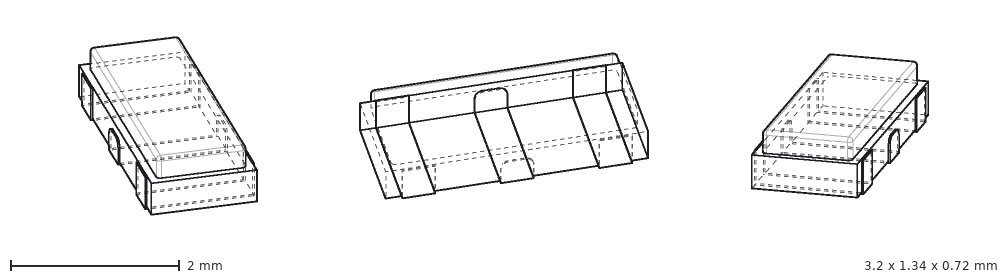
import cadquery as cq

base_length = 3.2
base_width = 1.3
base_height = 0.42

lid_inset = 0.1
lid_height = 0.28
lid_radius = 0.05

terminal_width = 0.4
terminal_pitch = 1.2
side_plating = 0.0208
bottom_plating = 0.02
corner_terminal_top = 0.405
middle_terminal_top = 0.3
middle_terminal_radius = 0.1

terminal_span = base_width + 2 * side_plating


def make_base():
    return cq.Workplane("XY").box(base_length, base_width, base_height, centered=(True, True, False))


def make_lid():
    lid_length = base_length - 2 * lid_inset
    lid_width = base_width - 2 * lid_inset
    lid = cq.Workplane("XY").workplane(offset=base_height)
    lid = lid.box(lid_length, lid_width, lid_height, centered=(True, True, False))
    return lid.edges("|Z or >Z").fillet(lid_radius)


def make_terminal(x, top):
    """Band that runs under the base and up both long sides to the given height."""
    band = cq.Workplane("XY").box(
        terminal_width, terminal_span, top + bottom_plating, centered=(True, True, False)
    )
    return band.translate((x, 0, -bottom_plating))


middle_terminal = make_terminal(0, middle_terminal_top)
middle_terminal = middle_terminal.edges(">Z and |Y").fillet(middle_terminal_radius)

result = make_base().union(make_lid()).union(middle_terminal)
for side in (-1, 1):
    result = result.union(make_terminal(side * terminal_pitch, corner_terminal_top))